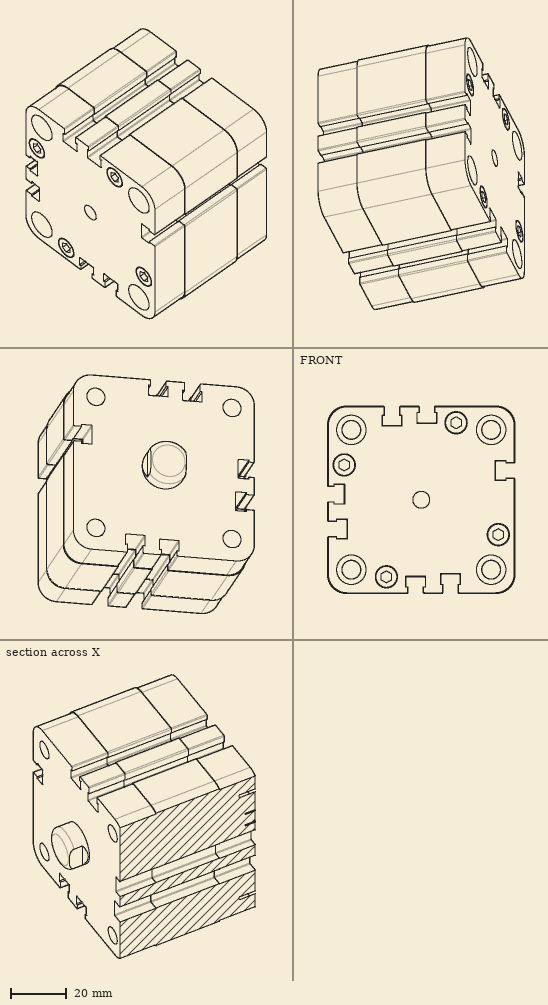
import cadquery as cq


BARREL_WIDTH = 67.0
BARREL_LENGTH = 26.0
CAP_WIDTH = 66.45
CAP_LENGTH = 14.75
CORNER_RADIUS = 6.7
BODY_LENGTH = BARREL_LENGTH + 2 * CAP_LENGTH

MOUTH_WIDTH = 5.4
UNDERCUT_WIDTH = 6.9
CAP_SLOT_CLEARANCE = 0.15
LIP_RADIUS = 0.5
SLOT_CORNER_RADIUS = 0.3
DEEP_SLOT_OFFSET = -10.45
DEEP_SLOT_DEPTH = 6.9
SHALLOW_SLOT_OFFSET = 2.0
SHALLOW_SLOT_DEPTH = 5.95
UNDERCUT_HEIGHT = 3.6
DEEP_SLOT_ANGLES = (0, 90, 180, 270)
SHALLOW_SLOT_ANGLES = (0, 90, 180)

MOUNT_OFFSET = 25.0
MOUNT_DIAMETER = 6.6
MOUNT_BORE_DIAMETER = 10.5
MOUNT_BORE_DEPTH = 6.5

CENTER_HOLE_DIAMETER = 6.0
CENTER_HOLE_DEPTH = 6.7

SCREW_OFFSET_ALONG = 12.45
SCREW_OFFSET_OUT = 27.55
SCREW_RECESS_DIAMETER = 8.0
SCREW_HEAD_DIAMETER = 7.5
SCREW_RECESS_DEPTH = 4.0
HEX_CORNER_DIAMETER = 4.3
HEX_DEPTH = 2.7

ROD_DIAMETER = 16.0
ROD_LENGTH = 7.5
ROD_END_RADIUS = 2.0
FLATS_WIDTH = 13.0
FLATS_START = 2.0
FLAT_STEP = (ROD_DIAMETER - FLATS_WIDTH) / 2


def cylinder(x, z, diameter, y_start, length):
    """Cylinder along +Y."""
    plane = cq.Workplane("XZ", origin=(0, y_start, 0))
    return plane.center(x, z).circle(diameter / 2).extrude(-length)


def slot_cutter(outer_face, offset, depth, clearance, y_start, length):
    """T-slot opening at the +Z face, with its mouth flared by round lips."""
    half_mouth = MOUTH_WIDTH / 2 + clearance
    half_undercut = UNDERCUT_WIDTH / 2 + clearance
    lip = LIP_RADIUS - clearance
    floor = outer_face - depth
    ledge = BARREL_WIDTH / 2 - depth + UNDERCUT_HEIGHT
    undercut = (
        cq.Workplane("XZ", origin=(offset, y_start, (floor + ledge) / 2))
        .rect(2 * half_undercut, ledge - floor)
        .extrude(-length)
        .edges("|Y and <Z")
        .fillet(SLOT_CORNER_RADIUS)
    )
    mouth = (
        cq.Workplane("XZ", origin=(offset, y_start, 0))
        .moveTo(-half_mouth, ledge)
        .lineTo(-half_mouth, outer_face - lip)
        .radiusArc((-half_mouth - lip, outer_face), -lip)
        .lineTo(half_mouth + lip, outer_face)
        .radiusArc((half_mouth, outer_face - lip), -lip)
        .lineTo(half_mouth, ledge)
        .close()
        .extrude(-length)
    )
    return undercut.union(mouth)


def body_section(width, clearance, y_start, length):
    """Rounded square block with its sensor slots."""
    block = (
        cq.Workplane("XZ", origin=(0, y_start, 0))
        .rect(width, width)
        .extrude(-length)
        .edges("|Y")
        .fillet(CORNER_RADIUS)
    )
    slot_kinds = (
        (DEEP_SLOT_OFFSET, DEEP_SLOT_DEPTH, DEEP_SLOT_ANGLES),
        (SHALLOW_SLOT_OFFSET, SHALLOW_SLOT_DEPTH, SHALLOW_SLOT_ANGLES),
    )
    for offset, depth, angles in slot_kinds:
        cutter = slot_cutter(width / 2, offset, depth, clearance, y_start, length)
        for angle in angles:
            block = block.cut(cutter.rotate((0, 0, 0), (0, 1, 0), -angle))
    return block


def mounting_hole(x, z):
    """Through hole, counterbored from the rear face."""
    through = cylinder(x, z, MOUNT_DIAMETER, 0, BODY_LENGTH)
    return through.union(cylinder(x, z, MOUNT_BORE_DIAMETER, 0, MOUNT_BORE_DEPTH))


def screw_cutter(x, z):
    """Clearance ring around a flush screw head, plus its hexagon socket."""
    recess = cylinder(x, z, SCREW_RECESS_DIAMETER, 0, SCREW_RECESS_DEPTH)
    head = cylinder(x, z, SCREW_HEAD_DIAMETER, 0, SCREW_RECESS_DEPTH)
    socket = (
        cq.Workplane("XZ")
        .polygon(6, HEX_CORNER_DIAMETER)
        .extrude(-HEX_DEPTH)
        .rotate((0, 0, 0), (0, 1, 0), 90)
        .translate((x, 0, z))
    )
    return recess.cut(head).union(socket)


def piston_rod():
    """Rod with a rounded end and two wrench flats facing -X and +X."""
    rod_end = BODY_LENGTH + ROD_LENGTH
    rod = cylinder(0, 0, ROD_DIAMETER, BODY_LENGTH, ROD_LENGTH)
    rod = rod.faces(">Y").edges().fillet(ROD_END_RADIUS)
    flats_y = BODY_LENGTH + FLATS_START
    flat = FLATS_WIDTH / 2
    for side in (-1, 1):
        flat_cut = (
            cq.Workplane("XY", origin=(0, 0, -ROD_DIAMETER / 2))
            .moveTo(side * flat, flats_y)
            .lineTo(side * (flat + FLAT_STEP), flats_y - FLAT_STEP)
            .lineTo(side * (flat + FLAT_STEP), rod_end)
            .lineTo(side * flat, rod_end)
            .close()
            .extrude(ROD_DIAMETER)
        )
        rod = rod.cut(flat_cut)
    return rod


rear_cap = body_section(CAP_WIDTH, CAP_SLOT_CLEARANCE, 0, CAP_LENGTH)
barrel = body_section(BARREL_WIDTH, 0, CAP_LENGTH, BARREL_LENGTH)
front_cap = body_section(CAP_WIDTH, CAP_SLOT_CLEARANCE, CAP_LENGTH + BARREL_LENGTH, CAP_LENGTH)
result = rear_cap.union(barrel).union(front_cap).union(piston_rod())

for x_side in (-1, 1):
    for z_side in (-1, 1):
        result = result.cut(mounting_hole(x_side * MOUNT_OFFSET, z_side * MOUNT_OFFSET))

for x, z in (
    (SCREW_OFFSET_ALONG, SCREW_OFFSET_OUT),
    (-SCREW_OFFSET_OUT, SCREW_OFFSET_ALONG),
    (-SCREW_OFFSET_ALONG, -SCREW_OFFSET_OUT),
    (SCREW_OFFSET_OUT, -SCREW_OFFSET_ALONG),
):
    result = result.cut(screw_cutter(x, z))

result = result.cut(cylinder(0, 0, CENTER_HOLE_DIAMETER, 0, CENTER_HOLE_DEPTH))